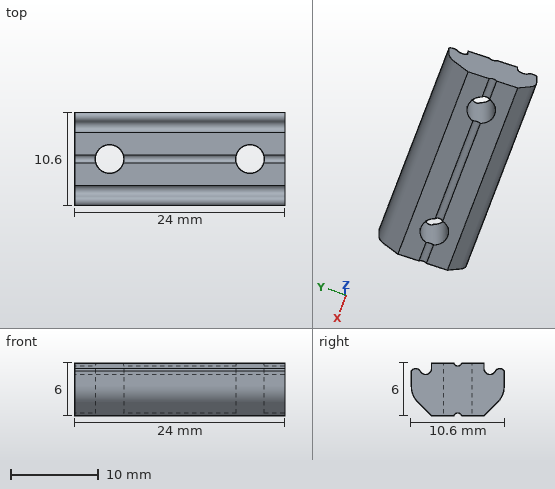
import cadquery as cq
import math

length = 24
width = 10.6
height = 6

flat_width = 6
corner_radius = 2.5
groove_radius = 0.67
lip_radius = 0.6
lip_drop = 0.6
notch_width = 0.9
notch_depth = 0.3

hole_diameter = 3.25
hole_spacing = 16.0

half_width = width / 2
half_flat = flat_width / 2
half_notch = notch_width / 2
diagonal = math.sqrt(0.5)

groove_y = half_flat + groove_radius
groove_z = height - lip_drop

lip_z = groove_z - lip_radius
centre_distance = groove_radius + lip_radius
lip_y = groove_y + math.sqrt(centre_distance**2 - lip_radius**2)
lip_edge_z = lip_z + math.sqrt(lip_radius**2 - (half_width - lip_y) ** 2)
touch_ratio = groove_radius / centre_distance
touch_y = groove_y + touch_ratio * (lip_y - groove_y)
touch_z = groove_z + touch_ratio * (lip_z - groove_z)

corner_z = half_width - half_flat
tangent_length = corner_radius * math.tan(math.pi / 8)
flank_end_y = half_width - tangent_length * diagonal
flank_end_z = corner_z - tangent_length * diagonal
side_start_z = corner_z + tangent_length


def half_section():
    """Cross-section on the +Y side of the centreline."""
    return (
        cq.Workplane("YZ")
        .moveTo(0, 0)
        .lineTo(half_flat, 0)
        .lineTo(flank_end_y, flank_end_z)
        .tangentArcPoint((half_width, side_start_z), relative=False)
        .lineTo(half_width, lip_edge_z)
        .threePointArc((lip_y, groove_z), (touch_y, touch_z))
        .threePointArc((groove_y, groove_z - groove_radius), (half_flat, groove_z))
        .lineTo(half_flat, height)
        .lineTo(0, height)
        .close()
    )


def centre_notch(face_z, tip_z):
    """Shallow circular-arc notch running the full length of one face."""
    return (
        cq.Workplane("YZ")
        .moveTo(-half_notch, face_z)
        .threePointArc((0, tip_z), (half_notch, face_z))
        .close()
        .extrude(length)
    )


half_bar = half_section().extrude(length)
bar = half_bar.union(half_bar.mirror("XZ"))
bar = bar.cut(centre_notch(height, height - notch_depth))
bar = bar.cut(centre_notch(0, notch_depth))

holes = (
    cq.Workplane("XY")
    .pushPoints([(length / 2 + side * hole_spacing / 2, 0) for side in (-1, 1)])
    .circle(hole_diameter / 2)
    .extrude(height)
)
result = bar.cut(holes).clean()